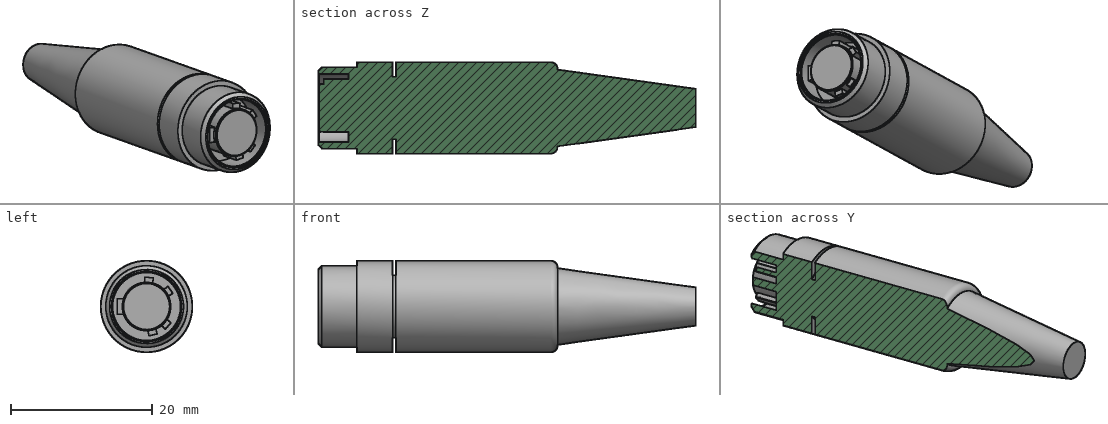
import cadquery as cq

TOTAL_LENGTH = 53.5
NOSE_END = 5.5
COLLAR_END = 10.55
GROOVE_WIDTH = 0.5
BODY_END = 33.9

BODY_RADIUS = 13.0 / 2
NOSE_RADIUS = 5.8
GROOVE_RADIUS = 4.45
BOOT_BASE_RADIUS = 5.45
BOOT_TIP_RADIUS = 2.75

NOSE_CHAMFER = 0.55
BODY_EDGE_FILLET = 0.95
MOUTH_CHAMFER = 0.15
CORE_CHAMFER = 0.15

SOCKET_RADIUS = 4.8
SOCKET_DEPTH = 4.3
CORE_RADIUS = 3.4
CORE_RECESS = 0.15
KEY_OUTER_RADIUS = 4.1
KEY_RECESS = 0.8
KEYS = [(0, 2.15), (95, 1.2), (145, 1.2), (222, 1.2), (257, 1.2)]


def make_shell():
    """Revolved outer form: nose, collar, groove, body and tapered boot."""
    body_start = COLLAR_END + GROOVE_WIDTH
    profile = (
        cq.Workplane("XY")
        .moveTo(0, 0)
        .lineTo(0, NOSE_RADIUS - NOSE_CHAMFER)
        .lineTo(NOSE_CHAMFER, NOSE_RADIUS)
        .lineTo(NOSE_END, NOSE_RADIUS)
        .lineTo(NOSE_END, BODY_RADIUS)
        .lineTo(COLLAR_END, BODY_RADIUS)
        .lineTo(COLLAR_END, GROOVE_RADIUS)
        .lineTo(body_start, GROOVE_RADIUS)
        .lineTo(body_start, BODY_RADIUS)
        .lineTo(BODY_END - BODY_EDGE_FILLET, BODY_RADIUS)
        .tangentArcPoint((BODY_END, BODY_RADIUS - BODY_EDGE_FILLET), relative=False)
        .lineTo(BODY_END, BOOT_BASE_RADIUS)
        .lineTo(TOTAL_LENGTH, BOOT_TIP_RADIUS)
        .lineTo(TOTAL_LENGTH, 0)
        .close()
    )
    return profile.revolve(360, (0, 0, 0), (1, 0, 0))


def make_socket():
    """Blind bore in the mating face with a chamfered mouth."""
    bore = cq.Workplane("YZ").circle(SOCKET_RADIUS).extrude(SOCKET_DEPTH)
    return bore.union(
        cq.Workplane("YZ")
        .circle(SOCKET_RADIUS + MOUTH_CHAMFER)
        .extrude(MOUTH_CHAMFER, taper=45)
    )


def make_core():
    """Round insert standing on the socket floor."""
    return (
        cq.Workplane("YZ")
        .workplane(offset=CORE_RECESS)
        .circle(CORE_RADIUS)
        .extrude(SOCKET_DEPTH - CORE_RECESS)
        .faces("<X")
        .chamfer(CORE_CHAMFER)
    )


def make_key(angle, width):
    """Axial rib on the side of the core."""
    return (
        cq.Workplane("YZ")
        .workplane(offset=KEY_RECESS)
        .center(KEY_OUTER_RADIUS / 2, 0)
        .rect(KEY_OUTER_RADIUS, width)
        .extrude(SOCKET_DEPTH - KEY_RECESS)
        .rotate((0, 0, 0), (1, 0, 0), angle)
    )


result = make_shell().cut(make_socket()).union(make_core())
for key_angle, key_width in KEYS:
    result = result.union(make_key(key_angle, key_width))